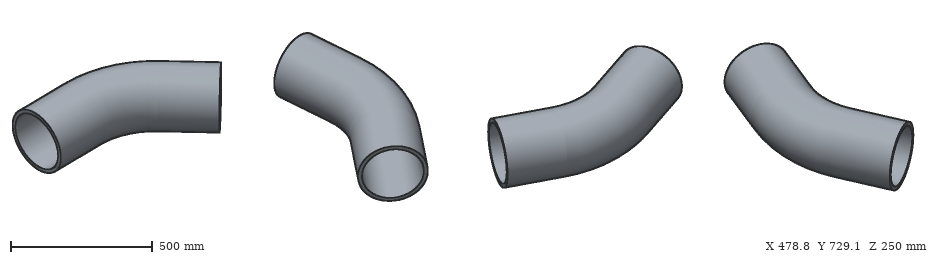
import cadquery as cq
import math

outer_diameter = 250.0
wall_thickness = 14.8
bend_radius = 375.0
bend_angle = 45.0
spigot_length = 220.0

outer_radius = outer_diameter / 2
inner_radius = outer_radius - wall_thickness


def bend_point(angle):
    """Centreline point (x, y) after turning through the given angle in degrees."""
    turn = math.radians(angle)
    x = bend_radius * (1 - math.cos(turn))
    y = spigot_length + bend_radius * math.sin(turn)
    return x, y


def centreline():
    """Straight run along +Y, arc towards +X, then a tangent straight run."""
    arc_start = bend_point(0)
    arc_middle = bend_point(bend_angle / 2)
    arc_end = bend_point(bend_angle)
    turn = math.radians(bend_angle)
    pipe_end = (
        arc_end[0] + spigot_length * math.sin(turn),
        arc_end[1] + spigot_length * math.cos(turn),
    )
    return (
        cq.Workplane("XY")
        .lineTo(*arc_start)
        .threePointArc(arc_middle, arc_end)
        .lineTo(*pipe_end)
    )


def pipe_bend():
    """Annular pipe section swept along the centreline."""
    section = cq.Workplane("XZ").circle(outer_radius).circle(inner_radius)
    return section.sweep(centreline())


result = pipe_bend()